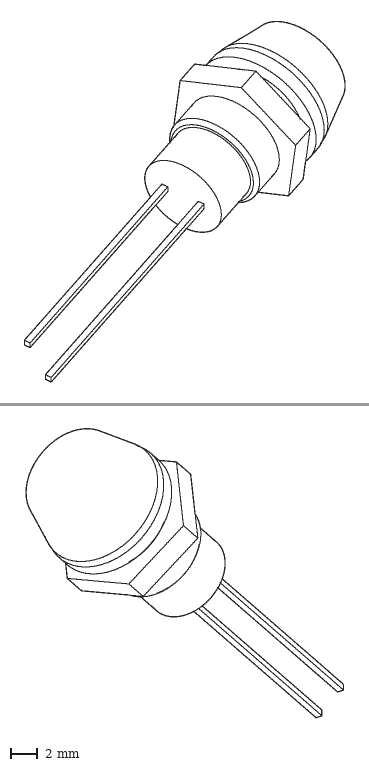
import cadquery as cq

CAP_LENGTH = 4.0
CAP_FRONT_RADIUS = 4.0
CAP_REAR_RADIUS = 5.05
CAP_EDGE_FILLET = 0.15

SHANK_END = 12.0
SHANK_RADIUS = 3.98
SHANK_CHAMFER = 0.33

LAMP_END = 16.0
LAMP_RADIUS = 3.4

LEAD_SPACING = 3.2
LEAD_WIDTH = 0.5
LONG_LEAD_END = 36.83
SHORT_LEAD_END = 34.75

WASHER_START = 4.68
WASHER_THICKNESS = 1.1
WASHER_RADIUS = 5.15

NUT_START = 7.0
NUT_THICKNESS = 2.0
NUT_CORNER_RADIUS = 5.93
NUT_CORNER_ANGLE = 84
NUT_SIDES = 6


def section_at(station):
    """Cross-section plane facing the rear (-Y), with local X along +X."""
    return cq.Workplane("XZ", origin=(0, -station, 0))


def disc(start, end, radius):
    """Cylinder on the axis between two stations."""
    return section_at(start).circle(radius).extrude(end - start)


def make_cap():
    """Bezel that widens towards the rear, with a rounded front edge."""
    profile = [
        (0, 0),
        (CAP_FRONT_RADIUS, 0),
        (CAP_REAR_RADIUS, -CAP_LENGTH),
        (0, -CAP_LENGTH),
    ]
    cone = cq.Workplane("XY").polyline(profile).close().revolve(360, (0, 0, 0), (0, 1, 0))
    return cone.faces(">Y").edges().fillet(CAP_EDGE_FILLET)


def make_lead(x, end):
    """Square wire from the rear of the lamp to the given station."""
    return section_at(LAMP_END).center(x, 0).rect(LEAD_WIDTH, LEAD_WIDTH).extrude(end - LAMP_END)


def make_indicator():
    """Cap, shank, lamp and the two leads as one solid."""
    shank = disc(CAP_LENGTH, SHANK_END, SHANK_RADIUS).faces("<Y").edges().chamfer(SHANK_CHAMFER)
    body = make_cap().union(shank).union(disc(SHANK_END, LAMP_END, LAMP_RADIUS))
    for side, end in ((-1, SHORT_LEAD_END), (1, LONG_LEAD_END)):
        body = body.union(make_lead(side * LEAD_SPACING / 2, end))
    return body


def make_washer():
    """Flat ring that fits on the shank."""
    ring = section_at(WASHER_START).circle(WASHER_RADIUS).circle(SHANK_RADIUS)
    return ring.extrude(WASHER_THICKNESS)


def make_nut():
    """Hexagonal nut that fits on the shank, turned about the axis."""
    hexagon = (
        section_at(NUT_START)
        .transformed(rotate=(0, 0, NUT_CORNER_ANGLE))
        .polygon(NUT_SIDES, 2 * NUT_CORNER_RADIUS)
        .extrude(NUT_THICKNESS)
    )
    return hexagon.cut(disc(NUT_START, NUT_START + NUT_THICKNESS, SHANK_RADIUS))


indicator = make_indicator()
washer = make_washer()
nut = make_nut()

result = cq.Compound.makeCompound([indicator.val(), washer.val(), nut.val()])